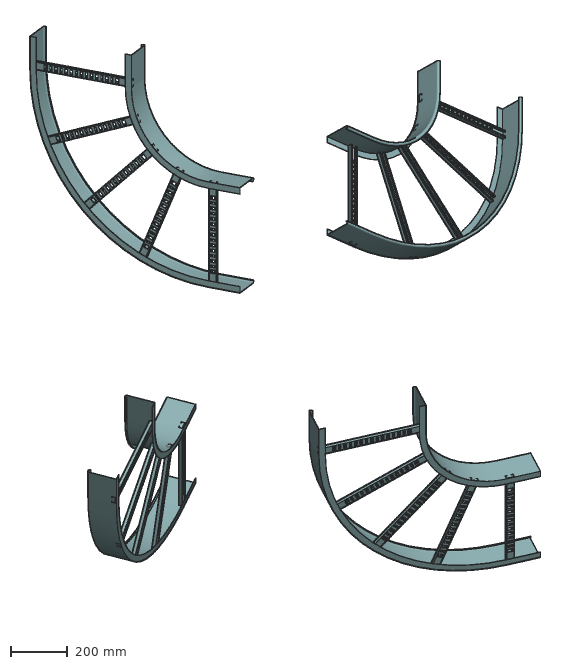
import cadquery as cq
OUTER_RADIUS = 700.0
INNER_RADIUS = 300.0
STRAIGHT_LENGTH = 125.0
RAIL_HEIGHT = 110.0
RAIL_THICKNESS = 2.0
FLANGE_WIDTH = 25.0
CURL_RADIUS = 7.0
CURL_LIP = 2.5

RUNG_END_GAP = 1.0
RUNG_WIDTH = 30.0
RUNG_DEPTH = 15.0
RUNG_THICKNESS = 2.0
RUNG_LIP = 7.0
RUNG_FRONT = 5.0
BEND_STEPS = 4

SLOT_HEIGHT = 17.0
SLOT_PITCH = 20.0
END_SLOT = 13.0
WIDE_SLOT = 10.0
NARROW_SLOT = 7.0
HALF_SLOT_PATTERN = [WIDE_SLOT, NARROW_SLOT, WIDE_SLOT, WIDE_SLOT,
                     NARROW_SLOT, WIDE_SLOT, NARROW_SLOT, END_SLOT]

QUARTER_TURN = 90.0
RUNG_MID_RADIUS = (INNER_RADIUS + OUTER_RADIUS) / 2
RUNG_LENGTH = OUTER_RADIUS - INNER_RADIUS - 2 * (RAIL_THICKNESS + RUNG_END_GAP)


def around_bend(profile):
    """Carry a (radius, Y) profile, drawn left of the centre, along straight, bend and straight."""
    upper = profile.extrude(STRAIGHT_LENGTH)
    bend = profile.toPending().revolve(QUARTER_TURN, (0, 0, 0), (0, -1, 0))
    lower = upper.mirror("XY").rotate((0, 0, 0), (0, 1, 0), -QUARTER_TURN)
    return upper.union(bend).union(lower)


def rail(web_radius, inward):
    """C rail: front flange, web and rolled back edge; inward is +1 if it opens to larger radius."""

    def at(depth, y):
        return (-(web_radius + inward * depth), y)

    t = RAIL_THICKNESS
    curl_start = RAIL_HEIGHT - CURL_RADIUS
    lip_end = curl_start - CURL_LIP
    profile = (
        cq.Workplane("XY")
        .moveTo(*at(0, 0))
        .lineTo(*at(FLANGE_WIDTH, 0))
        .lineTo(*at(FLANGE_WIDTH, t))
        .lineTo(*at(t, t))
        .lineTo(*at(t, curl_start))
        .threePointArc(at(CURL_RADIUS, RAIL_HEIGHT - t), at(2 * CURL_RADIUS - t, curl_start))
        .lineTo(*at(2 * CURL_RADIUS - t, lip_end))
        .lineTo(*at(2 * CURL_RADIUS, lip_end))
        .lineTo(*at(2 * CURL_RADIUS, curl_start))
        .threePointArc(at(CURL_RADIUS, RAIL_HEIGHT), at(0, curl_start))
        .close()
    )
    return around_bend(profile)


def rung_blank():
    """Lipped C channel along X, centred on Z = 0, open to the back, with slots in its front."""
    t = RUNG_THICKNESS
    block = cq.Workplane("XY").box(RUNG_LENGTH, RUNG_DEPTH, RUNG_WIDTH, centered=(True, False, True))
    hollow = (
        cq.Workplane("XY")
        .box(RUNG_LENGTH, RUNG_DEPTH - 2 * t, RUNG_WIDTH - 2 * t, centered=(True, False, True))
        .translate((0, t, 0))
    )
    mouth = (
        cq.Workplane("XY")
        .box(RUNG_LENGTH, t, RUNG_WIDTH - 2 * RUNG_LIP, centered=(True, False, True))
        .translate((0, RUNG_DEPTH - t, 0))
    )
    channel = block.cut(hollow).cut(mouth)
    for step, width in enumerate(HALF_SLOT_PATTERN):
        slot = cq.Workplane("XY").box(width, t, SLOT_HEIGHT, centered=(True, False, True))
        for side in (-1, 1):
            channel = channel.cut(slot.translate((side * step * SLOT_PITCH, 0, 0)))
    return channel.translate((-RUNG_MID_RADIUS, RUNG_FRONT, 0))


outer_rail = rail(OUTER_RADIUS, -1)
inner_rail = rail(INNER_RADIUS, 1)

rungs = []
blank = rung_blank()
for step in range(BEND_STEPS + 1):
    placed = blank
    if step == 0:
        placed = placed.translate((0, 0, RUNG_WIDTH / 2))
    if step == BEND_STEPS:
        placed = placed.translate((0, 0, -RUNG_WIDTH / 2))
    placed = placed.rotate((0, 0, 0), (0, 1, 0), -QUARTER_TURN * step / BEND_STEPS)
    rungs.append(placed)

result = cq.Compound.makeCompound(
    [outer_rail.val(), inner_rail.val()] + [rung.val() for rung in rungs]
)